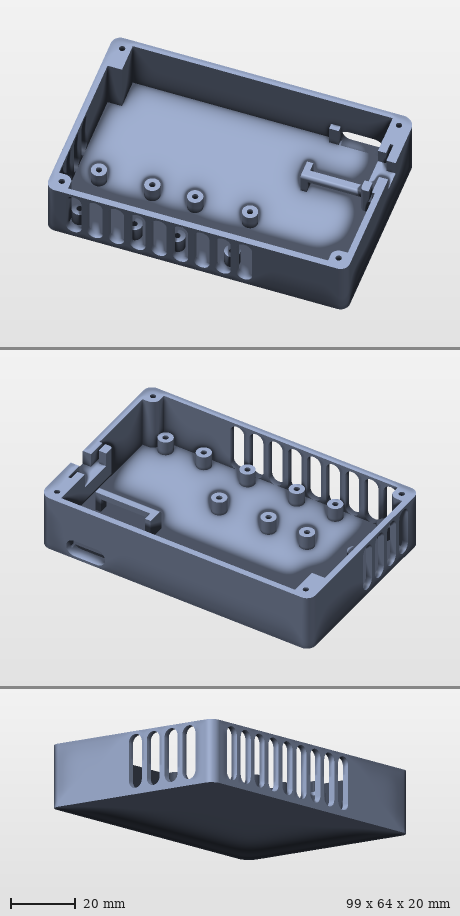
import cadquery as cq

length = 99.0
width = 64.0
height = 20.0
corner_radius = 3.1
rear_right_radius = 4.0
wall = 2.1
floor = 2.0

block_depth = 6.8
rear_block_width = 12.0
screw_inset = 4.1
screw_hole_diameter = 2.0
screw_hole_depth = 10.0
front_post_radius = 3.0

standoff_diameter = 5.0
standoff_hole_diameter = 2.0
standoff_height = 5.0
front_row_y = 5.5
rear_row_y = 22.0
front_row_x = [9.4, 27.4, 41.5, 59.5, 75.4, 89.4]
rear_row_x = [9.9, 27.4, 41.5, 59.5]

vent_width = 5.0
vent_height = 17.0
vent_bottom = floor
front_vent_count = 9
front_vent_span = 56.0
front_vent_start = 9.4
left_vent_count = 4
left_vent_start = 9.5

mount_length = 20.0
mount_bottom = 9.8
mount_edge_radius = 1.0
mount_notch_bottom = 14.9
plate_slot_thickness = 1.1
plate_slot_wall = 3.1
inner_notch_width = 12.4
outer_notch_width = 6.8

window_flat = 8.1
window_height = 6.0
window_center_x = 82.0
window_bottom = 1.0
post_width = 3.2
post_depth = 2.0
post_height = 6.8
post_gap = 13.9

bracket_x = 70.0
bracket_y = 39.0
bracket_height = 7.0
bracket_plate = 2.1
bracket_end_width = 6.1
bar_width = 3.1
bar_thickness = 2.1
bar_edge_radius = 1.1

vent_pitch = front_vent_span / (front_vent_count - 1)
block_x = length - block_depth
rear_y = width - wall
block_y = width - rear_block_width
mount_y = block_y - mount_length
mount_center_y = block_y - mount_length / 2


def box(x_start, x_end, y_start, y_end, z_start, z_end):
    """Block between two opposite corners."""
    size = (x_end - x_start, y_end - y_start, z_end - z_start)
    return cq.Workplane("XY").box(*size, centered=False).translate((x_start, y_start, z_start))


def make_tray():
    outside = box(0, length, 0, width, 0, height)
    outside = outside.edges("|Z and >X and >Y").fillet(rear_right_radius)
    outside = outside.edges("(|Z and <X) or (|Z and >X and <Y)").fillet(corner_radius)
    return outside.cut(box(wall, length - wall, wall, rear_y, floor, height))


def make_corners():
    rear = box(wall, block_depth, block_y, rear_y, floor, height)
    reach = screw_inset + front_post_radius
    post = cq.Workplane("XY").center(screw_inset, screw_inset).circle(front_post_radius).extrude(height)
    post = post.union(box(wall, screw_inset, wall, reach, floor, height))
    post = post.union(box(wall, reach, wall, screw_inset, floor, height))
    front = post.intersect(box(wall, block_depth, wall, reach, floor, height))
    left = rear.union(front)
    return left.union(left.mirror("YZ").translate((length, 0, 0)))


def make_screw_holes():
    return (
        cq.Workplane("XY", origin=(length / 2, width / 2, height - screw_hole_depth))
        .rect(length - 2 * screw_inset, width - 2 * screw_inset, forConstruction=True)
        .vertices()
        .circle(screw_hole_diameter / 2)
        .extrude(screw_hole_depth)
    )


def make_standoffs():
    centers = [(x, front_row_y) for x in front_row_x] + [(x, rear_row_y) for x in rear_row_x]
    plane = cq.Workplane("XY", origin=(0, 0, floor)).pushPoints(centers)
    pillars = plane.circle(standoff_diameter / 2).extrude(standoff_height)
    holes = plane.circle(standoff_hole_diameter / 2).extrude(standoff_height)
    return pillars, holes


def make_vents():
    center_z = vent_bottom + vent_height / 2
    front_centers = [(front_vent_start + i * vent_pitch, center_z) for i in range(front_vent_count)]
    left_centers = [(left_vent_start + i * vent_pitch, center_z) for i in range(left_vent_count)]
    front = cq.Workplane("XZ").pushPoints(front_centers).slot2D(vent_height, vent_width, 90).extrude(-wall)
    left = cq.Workplane("YZ").pushPoints(left_centers).slot2D(vent_height, vent_width, 90).extrude(wall)
    return front.union(left)


def make_mount():
    mount = box(block_x, length - wall, mount_y, block_y, mount_bottom, height)
    return mount.edges("|Z and <X and <Y").fillet(mount_edge_radius)


def make_mount_cuts():
    slot_end = length - plate_slot_wall
    slot_start = slot_end - plate_slot_thickness
    slot = box(slot_start, slot_end, mount_y, block_y, mount_notch_bottom, height)
    inner_y = mount_center_y - inner_notch_width / 2
    inner = box(block_x, slot_start, inner_y, inner_y + inner_notch_width, mount_notch_bottom, height)
    outer_y = mount_center_y - outer_notch_width / 2
    outer = box(slot_end, length, outer_y, outer_y + outer_notch_width, mount_notch_bottom, height)
    return slot.union(inner).union(outer)


def make_window():
    center_z = window_bottom + window_height / 2
    return (
        cq.Workplane("XZ", origin=(window_center_x, rear_y - post_depth, center_z))
        .slot2D(window_flat + window_height, window_height)
        .extrude(-(wall + post_depth))
    )


def make_posts():
    right = box(block_x - post_width, block_x, rear_y - post_depth, rear_y, floor, floor + post_height)
    left = right.translate((-(post_gap + post_width), 0, 0))
    return left.union(right)


def make_bracket():
    top = floor + bracket_height
    bar_y = bracket_y + bar_width
    end = box(bracket_x, bracket_x + bracket_plate, bracket_y, bracket_y + bracket_end_width, floor, top)
    leg = box(block_x - bracket_plate, block_x, bracket_y, bar_y, floor, top)
    bar = box(bracket_x, block_x, bracket_y, bar_y, top - bar_thickness, top)
    return end.union(leg).union(bar).edges("|X and <Y and >Z").fillet(bar_edge_radius)


pillars, pillar_holes = make_standoffs()
result = make_tray().union(make_corners()).union(make_mount()).union(pillars)
result = result.cut(make_window()).union(make_posts()).union(make_bracket())
result = result.cut(make_screw_holes()).cut(pillar_holes).cut(make_vents()).cut(make_mount_cuts())